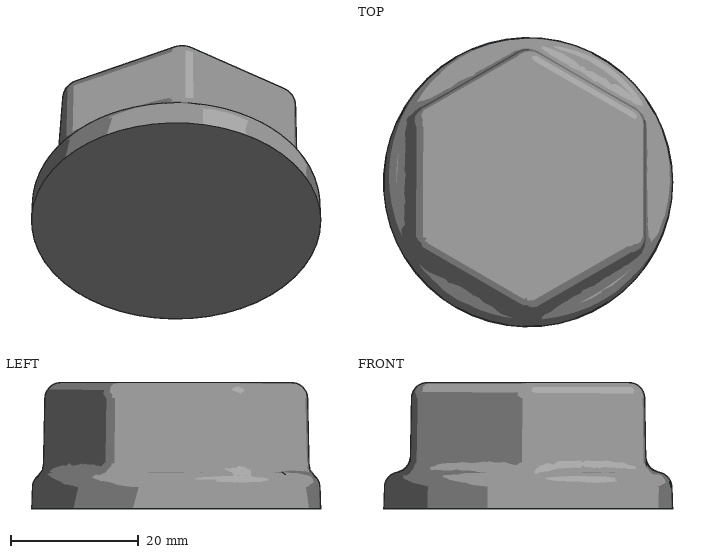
import cadquery as cq
import math

flange_radius = 22.68
total_height = 19.8

wall_height = 3.4
wall_draft_angle = 2.0
shoulder_radius = 2.5

side_count = 6
base_across_flats = 37.2
cap_draft_angle = 1.0
corner_radius = 3.25
top_edge_radius = 2.5

neck_radius = 2.5


def make_flange():
    """Drafted disc whose shoulder arc runs over its crest and ends inside the cap."""
    draft = math.radians(wall_draft_angle)
    wall_top_radius = flange_radius - wall_height * math.tan(draft)
    centre_radius = wall_top_radius - shoulder_radius * math.cos(draft)
    centre_height = wall_height - shoulder_radius * math.sin(draft)
    crest = (centre_radius, centre_height + shoulder_radius)
    inner_end = (centre_radius - shoulder_radius, centre_height)
    return (
        cq.Workplane("XZ")
        .lineTo(flange_radius, 0)
        .lineTo(wall_top_radius, wall_height)
        .threePointArc(crest, inner_end)
        .lineTo(0, centre_height)
        .close()
        .revolve(360, (0, 0, 0), (0, 1, 0))
    )


def make_cap():
    """Drafted hexagonal prism with rounded edges and two of its corners on the Y axis."""
    half_side_angle = 180 / side_count
    across_corners = base_across_flats / math.cos(math.radians(half_side_angle))
    prism = (
        cq.Workplane("XY")
        .polygon(side_count, across_corners)
        .extrude(total_height, taper=cap_draft_angle)
        .rotate((0, 0, 0), (0, 0, 1), half_side_angle)
    )
    rounded_prism = prism.edges("not #Z").fillet(corner_radius)
    return rounded_prism.faces(">Z").edges().fillet(top_edge_radius)


def blend_neck(body):
    """Fillet the seam where the sides of the cap meet the shoulder of the flange."""
    margin = 0.05
    seam = cq.selectors.BoxSelector(
        (-flange_radius, -flange_radius, wall_height + margin),
        (flange_radius, flange_radius, wall_height + shoulder_radius + margin),
        boundingbox=True,
    )
    return body.edges(seam).fillet(neck_radius)


result = blend_neck(make_flange().union(make_cap()))